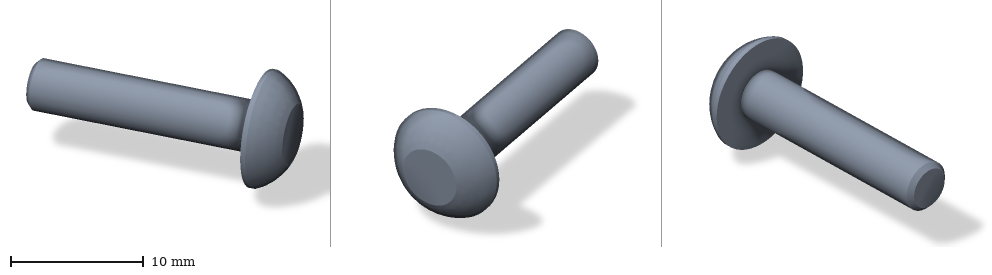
import cadquery as cq
import math

total_length = 20.82
shank_diameter = 4.04
head_diameter = 9.16
head_height = 2.58
rim_thickness = 0.4
crown_flat_diameter = 4.79
dome_bulge = 0.3
tip_chamfer = 0.4

shank_radius = shank_diameter / 2
head_radius = head_diameter / 2
crown_flat_radius = crown_flat_diameter / 2
head_start = total_length - head_height
dome_start = head_start + rim_thickness


def make_shank():
    """Cylinder from the chamfered tip to the underside of the head."""
    shank = cq.Workplane("YZ").circle(shank_radius).extrude(head_start)
    return shank.faces("<X").chamfer(tip_chamfer)


def make_head():
    """Revolved head: straight rim, domed side and flat crown."""
    dome_length = total_length - dome_start
    dome_drop = head_radius - crown_flat_radius
    chord = math.hypot(dome_length, dome_drop)
    dome_middle = (
        (dome_start + total_length) / 2 + dome_bulge * dome_drop / chord,
        (head_radius + crown_flat_radius) / 2 + dome_bulge * dome_length / chord,
    )
    return (
        cq.Workplane("XY")
        .moveTo(head_start, 0)
        .lineTo(head_start, head_radius)
        .lineTo(dome_start, head_radius)
        .threePointArc(dome_middle, (total_length, crown_flat_radius))
        .lineTo(total_length, 0)
        .close()
        .revolve(360, (0, 0, 0), (1, 0, 0))
    )


result = make_shank().union(make_head())